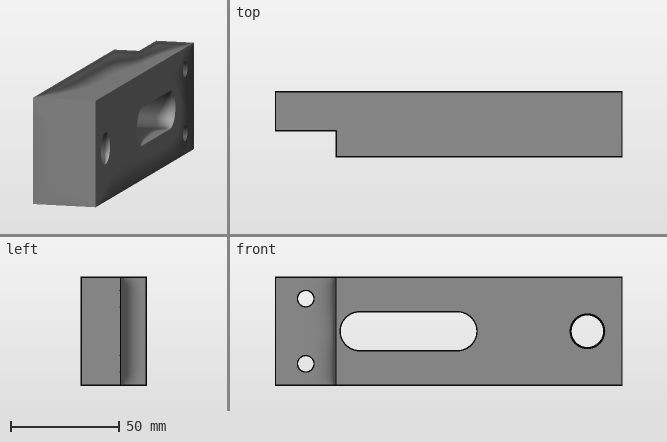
import cadquery as cq

length = 160.0
thickness = 30.0
height = 50.0

step_length = 28.0
step_depth = 12.0

small_hole_diameter = 7.5
small_hole_spacing = 30.0
small_hole_x = step_length / 2

slot_start = 30.0
slot_length = 63.0
slot_width = 18.0
slot_centre_x = slot_start + slot_length / 2

large_hole_diameter = 15.0
large_hole_chamfer = 0.5
large_hole_x = 144.0


def round_cutter(x, z, diameter):
    """Cylinder running through the whole thickness along Y."""
    return (
        cq.Workplane("XZ")
        .center(x, z)
        .circle(diameter / 2)
        .extrude(-thickness)
    )


plate = cq.Workplane("XY").box(length, thickness, height, centered=(False, False, True))
step = cq.Workplane("XY").box(step_length, step_depth, height, centered=(False, False, True))
slot = (
    cq.Workplane("XZ")
    .center(slot_centre_x, 0)
    .slot2D(slot_length, slot_width)
    .extrude(-thickness)
)
body = plate.cut(step).cut(slot)

for side in (-1, 1):
    body = body.cut(round_cutter(small_hole_x, side * small_hole_spacing / 2, small_hole_diameter))

body = body.cut(round_cutter(large_hole_x, 0, large_hole_diameter))
large_hole_rim = cq.selectors.BoxSelector(
    (large_hole_x - large_hole_diameter, -step_depth / 2, -large_hole_diameter),
    (large_hole_x + large_hole_diameter, step_depth / 2, large_hole_diameter),
)
result = body.edges("%CIRCLE").edges(large_hole_rim).chamfer(large_hole_chamfer)